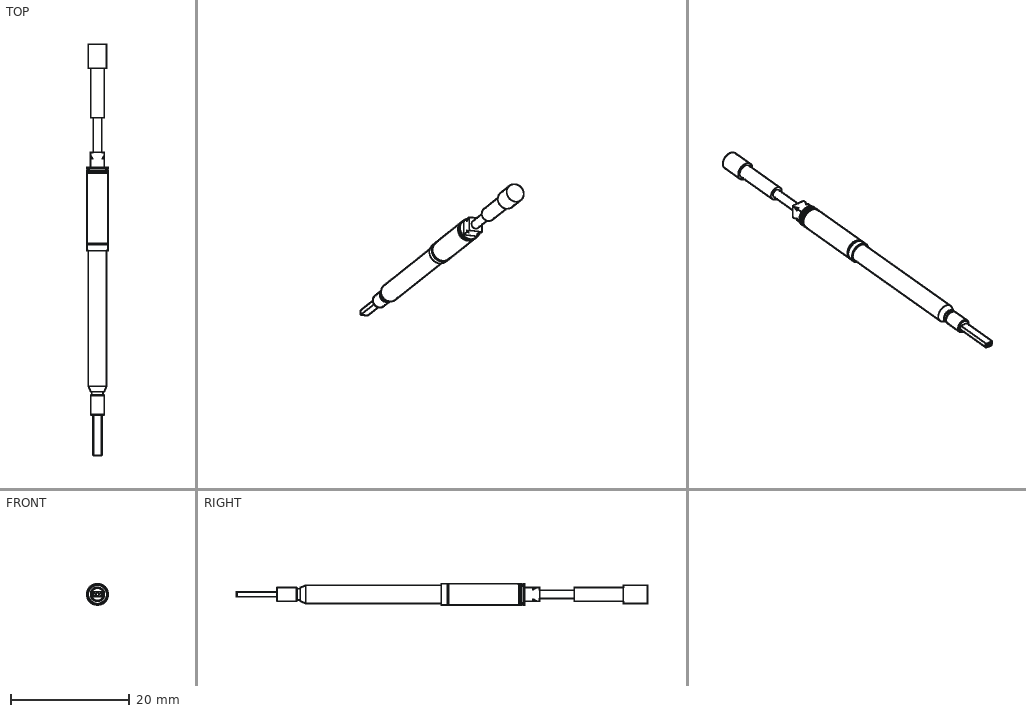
import cadquery as cq
import math

length = 69.5
stock_diameter = 5.55

head_diameter = 3.1
head_end = 4.1
plunger_diameter = 2.35
plunger_end = 12.45
stem_diameter = 1.45

drive_width = 2.35
drive_start = 18.3
notch_start = 18.7
notch_end = 19.4
notch_diameter = 2.85

sleeve_diameter = 3.6
sleeve_start = 20.8
sleeve_end = 34.9
rim_end = 21.05
sloping_groove_end = 21.4
sloping_groove_diameter = 2.65
square_groove_width = 0.2
square_groove_diameter = 3.4
square_groove_starts = (21.6, 33.65)

barrel_diameter = 3.1
barrel_end = 57.75
taper_end = 58.7
taper_diameter = 2.3

neck_diameter = 1.95
plug_diameter = 2.35
plug_start = 59.2
plug_end = 62.7
plug_chamfer = 0.15

pin_diameter = 1.5
pin_thickness = 0.8
pin_chamfer = 0.15
dimple_diameter = 0.55
dimple_depth = dimple_diameter / 2


def y_at(distance):
    """Y coordinate at a distance from the +Y end."""
    return length / 2 - distance


def turned(outline):
    """Solid of revolution about Y from a closed outline in the XY plane."""
    return cq.Workplane("XY").polyline(outline).close().revolve(360, (0, 0), (0, 1))


def frustum(start, end, start_diameter, end_diameter):
    """Turned section along Y, straight or tapered."""
    outline = [
        (0, y_at(start)),
        (start_diameter / 2, y_at(start)),
        (end_diameter / 2, y_at(end)),
        (0, y_at(end)),
    ]
    return turned(outline)


def cylinder(start, end, diameter):
    return frustum(start, end, diameter, diameter)


def turned_cut(start, end, start_diameter, end_diameter):
    """Ring of material to remove, which leaves a core of the given diameters."""
    core = frustum(start, end, start_diameter, end_diameter)
    return cylinder(start, end, stock_diameter).cut(core)


def plunger():
    head = cylinder(0, head_end, head_diameter)
    rod = cylinder(head_end, plunger_end, plunger_diameter)
    stem = cylinder(plunger_end, drive_start, stem_diameter)
    return head.union(rod).union(stem)


def square_drive():
    drive_length = sleeve_start - drive_start
    middle = y_at((drive_start + sleeve_start) / 2)
    drive = cq.Workplane("XY").box(drive_width, drive_length, drive_width).translate((0, middle, 0))
    corner_diameter = drive_width * math.sqrt(2)
    return drive.cut(turned_cut(notch_start, notch_end, corner_diameter, notch_diameter))


def sleeve():
    body = cylinder(sleeve_start, sleeve_end, sleeve_diameter)
    body = body.cut(turned_cut(rim_end, sloping_groove_end, sleeve_diameter, sloping_groove_diameter))
    for start in square_groove_starts:
        end = start + square_groove_width
        body = body.cut(turned_cut(start, end, square_groove_diameter, square_groove_diameter))
    return body


def barrel():
    tube = cylinder(sleeve_end, barrel_end, barrel_diameter)
    return tube.union(frustum(barrel_end, taper_end, barrel_diameter, taper_diameter))


def plug():
    neck = cylinder(taper_end, plug_start, neck_diameter)
    body = cylinder(plug_start, plug_end, plug_diameter).edges().chamfer(plug_chamfer)
    return neck.union(body)


def terminal_pin():
    rod = cylinder(plug_end, length, pin_diameter).faces("<Y").chamfer(pin_chamfer)
    pin_middle = y_at((plug_end + length) / 2)
    flats = cq.Workplane("XY").box(pin_diameter, length - plug_end, pin_thickness)
    tip = y_at(length)
    dimple = turned([(0, tip + dimple_depth), (dimple_diameter / 2, tip), (0, tip)])
    return rod.intersect(flats.translate((0, pin_middle, 0))).cut(dimple)


result = (
    plunger()
    .union(square_drive())
    .union(sleeve())
    .union(barrel())
    .union(plug())
    .union(terminal_pin())
)